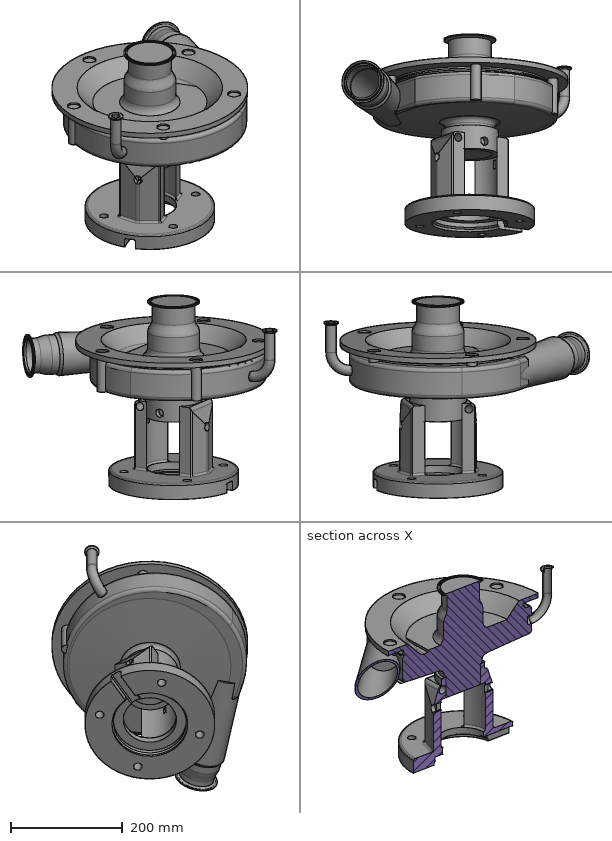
import cadquery as cq
import math

BASE_R = 116.0
BASE_H = 29.0
BASE_CHAMFER = 3.0
BASE_BORE_R = 47.5
BASE_RECESS_R = 65.0
BASE_RECESS_H = 15.5
BASE_RECESS_MOUTH_R = 67.5
BASE_RECESS_MOUTH_H = 4.5
BASE_RECESS_CONE_TOP = 7.5
BOLT_HOLE_R = 7.5
BOLT_CIRCLE_R = 92.0
BOLT_COUNT = 4
DRAIN_SLOT_W = 20.5
DRAIN_SLOT_H = 18.0
DRAIN_SLOT_CHAMFER = 2.5

COLLAR_R = 51.0
COLLAR_BORE_R = 40.0
COLLAR_Z = 126.5
COLLAR_TOP = 169.5
COLLAR_HOLE_R = 7.5
COLLAR_HOLE_Z = 141.5

LEG_HALF_W = 38.5
LEG_TOP = 155.5
LEG_INNER_Y = 34.0
LEG_SIDE_Y = 57.0
LEG_EDGE = 2.5
LEG_RIDGE_Y = 70.0
LEG_RIDGE_HALF_W = 3.0
LEG_SLOPE_Z = 117.0
LEG_SHOULDER_Y = 59.0
LEG_SHOULDER_Z = 149.0
LEG_TOP_Y = 53.0
LEG_FOOT_FILLET = 4.0
LEG_HOLE_R = 7.5
LEG_HOLE_Z = 114.0
LEG_HOLE_FLOOR_Y = 60.0
LEG_SLIT_W = 4.5
CROSS_HOLE_Y = 47.5
CROSS_HOLE_Z = 145.5

VOLUTE_LEFT_X = -155.0
VOLUTE_FRONT_Y = -160.5
VOLUTE_RIGHT_X = 173.0
VOLUTE_REAR_X = -135.5
VOLUTE_REAR_Y = 69.0
TONGUE_X = -45.0
TONGUE_Y = 141.5
VOLUTE_RIM_Z = 190.5
VOLUTE_HUB_Z = 185.0
UNDERSIDE_R = 145.0
VOLUTE_TOP = 246.0
VOLUTE_FILLET = 7.0

NECK_R = 45.0
NECK_FILLET = 9.5

FLANGE_R = 175.05
FLANGE_TOP = 265.5
FLANGE_H = 9.5
FLANGE_BOTTOM = FLANGE_TOP - FLANGE_H
SEAT_STEP_R = 145.0
SEAT_STEP_Z = 249.0
SEAT_R = 140.0
SEAT_FILLET = 4.0

DISH_TOP_R = 130.0
DISH_FLOOR_R = 102.0
DISH_FLOOR = 237.0
STEP_Y = 82.0
STEP_DEPTH = 4.5
STEP_FLOOR_R = 91.5

STUD_COUNT = 5
STUD_CIRCLE_R = 152.5
STUD_FIRST_ANGLE = 9.0
STUD_R = 9.5
STUD_Z = 192.0
STUD_HOLE_R = 11.5
STUD_HOLE_DEPTH = 3.0

INLET_R = 46.5
INLET_FOOT_R = 54.0
INLET_FOOT_H = 15.5
INLET_TUBE_R = 38.5
INLET_TAPER_Z = 280.5
INLET_TUBE_Z = 301.5
INLET_TOP = 336.5
INLET_RIM_R = 46.5
RIM_H = 2.0
RIM_CONE_H = 2.5
GROOVE_INNER_R = 41.0
GROOVE_OUTER_R = 43.5
GROOVE_DEPTH = 1.0

OUTLET_Z = 217.0
OUTLET_ANGLE = 135.0
OUTLET_OFFSET = 140.0
OUTLET_LENGTH = 230.5
OUTLET_FOOT_R = 31.5
OUTLET_PIPE_R = 39.0
OUTLET_PIPE_END = OUTLET_LENGTH - 54.5
OUTLET_SLEEVE_R = 35.5
OUTLET_SLEEVE_START = OUTLET_LENGTH - 49.0
OUTLET_SLEEVE_END = OUTLET_LENGTH - 35.0
OUTLET_TUBE_R = 31.5
OUTLET_TUBE_START = OUTLET_LENGTH - 15.0
OUTLET_RIM_R = 38.5
OUTLET_WALL = 1.5
OUTLET_BORE_START = 50.0
OUTLET_BORE_TAPER_END = OUTLET_LENGTH - 27.5
OUTLET_GROOVE_INNER_R = 33.0
OUTLET_GROOVE_OUTER_R = 35.0

VENT_R = 9.5
VENT_BORE_R = 7.5
VENT_Z = 218.0
VENT_Y = -197.5
VENT_BEND_R = 35.5
VENT_TOP = 307.5
VENT_RIM_R = 13.0


def cylinder(radius, z_low, z_high, x=0.0, y=0.0):
    """Upright cylinder between two heights."""
    return cq.Workplane("XY", origin=(x, y, z_low)).circle(radius).extrude(z_high - z_low)


def ring_points(count, radius, first_angle):
    """Evenly spaced points on a circle about the pump axis."""
    angles = [math.radians(first_angle + 360.0 * i / count) for i in range(count)]
    return [(radius * math.cos(a), radius * math.sin(a)) for a in angles]


def quarter_arc_middle(centre, radius, angle):
    """Point on a fillet arc in the direction `angle` from its centre."""
    a = math.radians(angle)
    return (centre[0] + radius * math.cos(a), centre[1] + radius * math.sin(a))


def turned(profile):
    """Revolve an XZ profile about the Z axis."""
    return profile.close().revolve(360, (0, 0, 0), (0, 1, 0))



def base_blank():
    return cylinder(BASE_R, 0, BASE_H).faces(">Z").edges().chamfer(BASE_CHAMFER)


def leg(side):
    """One leg, on the +Y side (side = 1) or the -Y side (side = -1)."""
    bevel_y = LEG_SIDE_Y + LEG_EDGE
    half = [
        (LEG_HALF_W, LEG_INNER_Y),
        (LEG_HALF_W, LEG_SIDE_Y),
        (LEG_HALF_W - LEG_EDGE, bevel_y),
        (LEG_RIDGE_HALF_W, LEG_RIDGE_Y),
    ]
    plan = half + [(-x, y) for x, y in reversed(half)]
    prism = cq.Workplane("XY", origin=(0, 0, BASE_H)).polyline(plan).close().extrude(LEG_TOP - BASE_H)

    envelope = (
        cq.Workplane("YZ")
        .moveTo(0, 0)
        .lineTo(LEG_RIDGE_Y, 0)
        .lineTo(LEG_RIDGE_Y, LEG_SLOPE_Z)
        .lineTo(LEG_SHOULDER_Y, LEG_SHOULDER_Z)
        .tangentArcPoint((LEG_TOP_Y, LEG_TOP), relative=False)
        .lineTo(0, LEG_TOP)
        .close()
        .extrude(LEG_HALF_W, both=True)
    )
    shape = prism.intersect(envelope).cut(cylinder(COLLAR_R, BASE_H, COLLAR_Z))
    return shape if side > 0 else shape.mirror("XZ")


def base_bore():
    return turned(
        cq.Workplane("XZ")
        .moveTo(0, 0)
        .lineTo(BASE_RECESS_MOUTH_R, 0)
        .lineTo(BASE_RECESS_MOUTH_R, BASE_RECESS_MOUTH_H)
        .lineTo(BASE_RECESS_R, BASE_RECESS_CONE_TOP)
        .lineTo(BASE_RECESS_R, BASE_RECESS_H)
        .lineTo(BASE_BORE_R, BASE_RECESS_H)
        .lineTo(BASE_BORE_R, BASE_H)
        .lineTo(0, BASE_H)
    )


def base_slot():
    return (
        cq.Workplane("XY", origin=(0, -BASE_R / 2, 0))
        .rect(DRAIN_SLOT_W, BASE_R)
        .extrude(DRAIN_SLOT_H)
        .edges("|Y and >Z")
        .chamfer(DRAIN_SLOT_CHAMFER)
    )


def leg_holes():
    """A round pocket in each ridge, joined by a narrow upright slit."""
    depth = LEG_RIDGE_Y - LEG_HOLE_FLOOR_Y
    pocket = (
        cq.Workplane("XZ", origin=(0, -LEG_HOLE_FLOOR_Y, LEG_HOLE_Z)).circle(LEG_HOLE_R).extrude(depth)
    )
    slit = cq.Workplane("XY", origin=(0, 0, LEG_HOLE_Z)).box(LEG_SLIT_W, 2 * LEG_RIDGE_Y, 2 * LEG_HOLE_R)
    return pocket.union(pocket.mirror("XZ")).union(slit)


def collar_holes():
    radial = (
        cq.Workplane("YZ", origin=(-COLLAR_R, 0, COLLAR_HOLE_Z)).circle(COLLAR_HOLE_R).extrude(COLLAR_R)
    )
    cross = (
        cq.Workplane("YZ", origin=(0, CROSS_HOLE_Y, CROSS_HOLE_Z))
        .circle(LEG_HOLE_R)
        .extrude(COLLAR_R, both=True)
    )
    return radial.union(cross)


def make_lantern():
    body = base_blank()
    for side in (1, -1):
        body = body.union(leg(side))
    foot = cq.selectors.BoxSelector(
        (-COLLAR_R, -LEG_RIDGE_Y - 5, BASE_H - 0.5), (COLLAR_R, LEG_RIDGE_Y + 5, BASE_H + 0.5)
    )
    body = body.edges(foot).fillet(LEG_FOOT_FILLET)
    body = body.union(cylinder(COLLAR_R, COLLAR_Z, COLLAR_TOP))
    bolts = (
        cq.Workplane("XY")
        .pushPoints(ring_points(BOLT_COUNT, BOLT_CIRCLE_R, 45.0))
        .circle(BOLT_HOLE_R)
        .extrude(BASE_H)
    )
    for tool in (
        cylinder(COLLAR_BORE_R, COLLAR_Z, COLLAR_TOP),
        base_bore(),
        base_slot(),
        bolts,
        leg_holes(),
        collar_holes(),
    ):
        body = body.cut(tool)
    return body



def volute():
    """Widening scroll with a slightly conical underside and rounded rims."""
    across = math.radians(OUTLET_ANGLE - 90.0)
    outer = OUTLET_OFFSET + OUTLET_FOOT_R
    outlet_edge = (outer * math.cos(across), outer * math.sin(across))
    outlet_heart = (OUTLET_OFFSET * math.cos(across), TONGUE_Y)
    scroll = (
        cq.Workplane("XY", origin=(0, 0, VOLUTE_RIM_Z))
        .moveTo(TONGUE_X, TONGUE_Y)
        .threePointArc((VOLUTE_REAR_X, VOLUTE_REAR_Y), (VOLUTE_LEFT_X, 0))
        .threePointArc((0, VOLUTE_FRONT_Y), (VOLUTE_RIGHT_X, 0))
        .tangentArcPoint(outlet_edge, relative=False)
        .lineTo(*outlet_heart)
        .close()
        .extrude(VOLUTE_TOP - VOLUTE_RIM_Z)
        .edges("not |Z")
        .fillet(VOLUTE_FILLET)
    )
    underside = turned(
        cq.Workplane("XZ")
        .moveTo(0, VOLUTE_HUB_Z)
        .lineTo(NECK_R, VOLUTE_HUB_Z)
        .lineTo(UNDERSIDE_R, VOLUTE_RIM_Z)
        .lineTo(0, VOLUTE_RIM_Z)
    )
    return scroll.union(underside)


def neck():
    """Spigot in the collar and the flared neck above it."""
    centre = (NECK_R + NECK_FILLET, VOLUTE_HUB_Z - NECK_FILLET)
    return turned(
        cq.Workplane("XZ")
        .moveTo(0, COLLAR_Z)
        .lineTo(COLLAR_BORE_R, COLLAR_Z)
        .lineTo(COLLAR_BORE_R, COLLAR_TOP)
        .lineTo(NECK_R, COLLAR_TOP)
        .lineTo(NECK_R, centre[1])
        .threePointArc(quarter_arc_middle(centre, NECK_FILLET, 135), (centre[0], VOLUTE_HUB_Z))
        .lineTo(centre[0], VOLUTE_TOP)
        .lineTo(0, VOLUTE_TOP)
    )


def flange():
    """Mounting flange on its seat ring, which stands on a low step on the volute."""
    centre = (SEAT_R + SEAT_FILLET, SEAT_STEP_Z + SEAT_FILLET)
    return turned(
        cq.Workplane("XZ")
        .moveTo(0, VOLUTE_TOP)
        .lineTo(SEAT_STEP_R, VOLUTE_TOP)
        .lineTo(SEAT_STEP_R, SEAT_STEP_Z)
        .lineTo(centre[0], SEAT_STEP_Z)
        .threePointArc(quarter_arc_middle(centre, SEAT_FILLET, 225), (SEAT_R, centre[1]))
        .lineTo(SEAT_R, FLANGE_BOTTOM)
        .lineTo(FLANGE_R, FLANGE_BOTTOM)
        .lineTo(FLANGE_R, FLANGE_TOP)
        .lineTo(0, FLANGE_TOP)
    )


def dish():
    """Conical dish in the flange, with a deeper segment behind the step line."""
    cone = turned(
        cq.Workplane("XZ")
        .moveTo(0, DISH_FLOOR)
        .lineTo(DISH_FLOOR_R, DISH_FLOOR)
        .lineTo(DISH_TOP_R, FLANGE_TOP)
        .lineTo(0, FLANGE_TOP)
    )
    step_floor = DISH_FLOOR - STEP_DEPTH
    segment = turned(
        cq.Workplane("XZ")
        .moveTo(0, step_floor)
        .lineTo(STEP_FLOOR_R, step_floor)
        .tangentArcPoint((DISH_FLOOR_R, DISH_FLOOR), relative=False)
        .lineTo(0, DISH_FLOOR)
    )
    behind = cq.Workplane("XY", origin=(0, STEP_Y + FLANGE_R / 2, DISH_FLOOR)).box(
        2 * FLANGE_R, FLANGE_R, 2 * STEP_DEPTH
    )
    return cone.union(segment.intersect(behind))


def studs():
    spots = ring_points(STUD_COUNT, STUD_CIRCLE_R, STUD_FIRST_ANGLE)
    return cq.Workplane("XY", origin=(0, 0, STUD_Z)).pushPoints(spots).circle(STUD_R).extrude(
        FLANGE_BOTTOM - STUD_Z
    )


def stud_holes():
    spots = ring_points(STUD_COUNT, STUD_CIRCLE_R, STUD_FIRST_ANGLE)
    return cq.Workplane("XY", origin=(0, 0, FLANGE_TOP)).pushPoints(spots).circle(STUD_HOLE_R).extrude(
        -STUD_HOLE_DEPTH
    )


def face_groove(inner_r, outer_r, face_z):
    """Shallow gasket groove in a clamp rim."""
    floor = face_z - GROOVE_DEPTH
    return cylinder(outer_r, floor, face_z).cut(cylinder(inner_r, floor, face_z))


def inlet():
    """Closed inlet nozzle with a tapered shoulder and a grooved clamp rim."""
    nozzle = turned(
        cq.Workplane("XZ")
        .moveTo(0, INLET_TOP)
        .lineTo(INLET_RIM_R, INLET_TOP)
        .lineTo(INLET_RIM_R, INLET_TOP - RIM_H)
        .lineTo(INLET_TUBE_R, INLET_TOP - RIM_H - RIM_CONE_H)
        .lineTo(INLET_TUBE_R, INLET_TUBE_Z)
        .spline([(INLET_R, INLET_TAPER_Z)], tangents=[(0, -1), (0, -1)], includeCurrent=True)
        .lineTo(INLET_R, DISH_FLOOR + INLET_FOOT_H)
        .tangentArcPoint((INLET_FOOT_R, DISH_FLOOR), relative=False)
        .lineTo(0, DISH_FLOOR)
    )
    return nozzle.cut(face_groove(GROOVE_INNER_R, GROOVE_OUTER_R, INLET_TOP))


def place_outlet(shape):
    """Lay an upright shape down on the outlet axis."""
    across = math.radians(OUTLET_ANGLE - 90.0)
    foot = (OUTLET_OFFSET * math.cos(across), OUTLET_OFFSET * math.sin(across), OUTLET_Z)
    return shape.rotate((0, 0, 0), (0, 1, 0), 90).rotate((0, 0, 0), (0, 0, 1), OUTLET_ANGLE).translate(foot)


def outlet_pipe():
    pipe = turned(
        cq.Workplane("XZ")
        .moveTo(0, 0)
        .lineTo(OUTLET_FOOT_R, 0)
        .lineTo(OUTLET_PIPE_R, OUTLET_PIPE_END)
        .lineTo(OUTLET_SLEEVE_R, OUTLET_SLEEVE_START)
        .lineTo(OUTLET_SLEEVE_R, OUTLET_SLEEVE_END)
        .spline([(OUTLET_TUBE_R, OUTLET_TUBE_START)], tangents=[(0, 1), (0, 1)], includeCurrent=True)
        .lineTo(OUTLET_TUBE_R, OUTLET_LENGTH - RIM_H - RIM_CONE_H)
        .lineTo(OUTLET_RIM_R, OUTLET_LENGTH - RIM_H)
        .lineTo(OUTLET_RIM_R, OUTLET_LENGTH)
        .lineTo(0, OUTLET_LENGTH)
    )
    groove = face_groove(OUTLET_GROOVE_INNER_R, OUTLET_GROOVE_OUTER_R, OUTLET_LENGTH)
    return place_outlet(pipe.cut(groove))


def outlet_bore():
    tube_r = OUTLET_TUBE_R - OUTLET_WALL
    sleeve_r = OUTLET_SLEEVE_R - OUTLET_WALL
    return place_outlet(turned(
        cq.Workplane("XZ")
        .moveTo(0, OUTLET_BORE_START)
        .lineTo(OUTLET_FOOT_R - OUTLET_WALL, OUTLET_BORE_START)
        .lineTo(sleeve_r, OUTLET_SLEEVE_START)
        .spline([(tube_r, OUTLET_BORE_TAPER_END)], tangents=[(0, 1), (0, 1)], includeCurrent=True)
        .lineTo(tube_r, OUTLET_LENGTH)
        .lineTo(0, OUTLET_LENGTH)
    ))


def vent_tube(radius):
    """Solid rod along the bent vent axis: out of the volute, then upwards."""
    start_y = VOLUTE_FRONT_Y + VENT_R
    bend_y = VENT_Y + VENT_BEND_R
    bend_z = VENT_Z + VENT_BEND_R
    middle = quarter_arc_middle((bend_y, bend_z), VENT_BEND_R, 225)
    path = (
        cq.Workplane("YZ")
        .moveTo(start_y, VENT_Z)
        .lineTo(bend_y, VENT_Z)
        .threePointArc(middle, (VENT_Y, bend_z))
        .lineTo(VENT_Y, VENT_TOP)
    )
    return cq.Workplane("XZ", origin=(0, start_y, VENT_Z)).circle(radius).sweep(path)


def vent_rim():
    return turned(
        cq.Workplane("XZ")
        .moveTo(0, VENT_TOP - RIM_H - RIM_CONE_H)
        .lineTo(VENT_R, VENT_TOP - RIM_H - RIM_CONE_H)
        .lineTo(VENT_RIM_R, VENT_TOP - RIM_H)
        .lineTo(VENT_RIM_R, VENT_TOP)
        .lineTo(0, VENT_TOP)
    ).translate((0, VENT_Y, 0))


def make_casing():
    body = volute()
    for piece in (neck(), flange(), studs(), outlet_pipe()):
        body = body.union(piece)
    body = body.cut(dish()).cut(stud_holes()).union(inlet())
    body = body.union(vent_tube(VENT_R)).union(vent_rim())
    return body.cut(outlet_bore()).cut(vent_tube(VENT_BORE_R))


lantern = make_lantern()
casing = make_casing()

result = cq.Compound.makeCompound([lantern.val(), casing.val()])